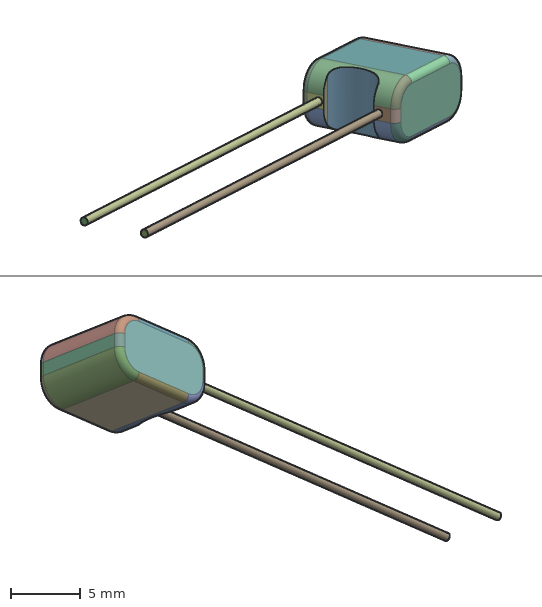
import cadquery as cq

overall_length = 40.9
body_width = 8.15
body_length = 9.15
body_height = 5.05
long_edge_radius = 2.0
end_fillet = 0.55

notch_width = 4.25
notch_depth = 1.6
notch_straight = 0.5

lead_diameter = 0.6
lead_spacing = 5.1

lead_length = overall_length - body_length
notch_arch_height = notch_depth - notch_straight


def make_rounded_block():
    """Block with rounded long edges and softened X ends."""
    block = cq.Workplane("XY").box(body_width, body_length, body_height)
    block = block.translate((0, body_length / 2, 0))
    block = block.edges("|X").fillet(long_edge_radius)
    return block.faces("<X or >X").edges().fillet(end_fillet)


def make_notch():
    """Arched cutter between the leads, passing through the whole height."""
    half_width = notch_width / 2
    straight_sides = (
        cq.Workplane("XY", origin=(0, 0, -body_height / 2))
        .rect(notch_width, 2 * notch_straight)
        .extrude(body_height)
    )
    arch = (
        cq.Workplane("XY", origin=(0, 0, -body_height / 2))
        .center(0, notch_straight)
        .ellipse(half_width, notch_arch_height)
        .extrude(body_height)
    )
    return straight_sides.union(arch)


def make_housing():
    """Capacitor body with the notch in its lead face."""
    return make_rounded_block().cut(make_notch())


def make_lead(x):
    """Round wire that butts against the lead face of the housing."""
    lead = cq.Workplane("XZ").circle(lead_diameter / 2).extrude(lead_length)
    return lead.translate((x, 0, 0))


housing = make_housing()
leads = [make_lead(side * lead_spacing / 2) for side in (-1, 1)]

result = cq.Compound.makeCompound([housing.val(), *[lead.val() for lead in leads]])